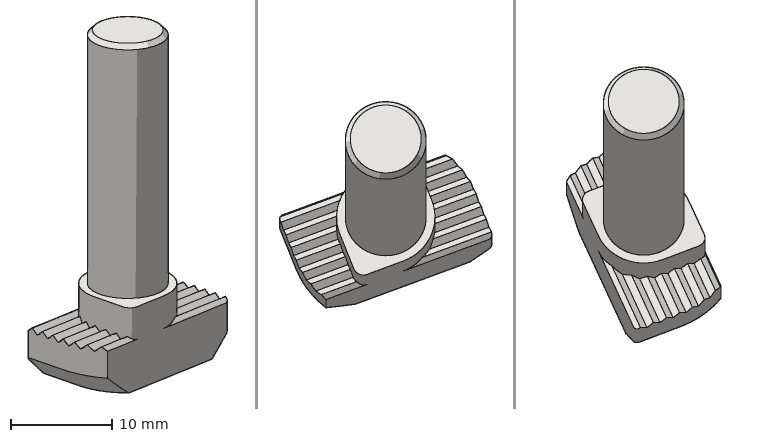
import cadquery as cq

total_height = 35.8
head_width = 9.7
head_length = 19.0

head_bevel = 2.5
head_corner_radius = 0.5

ridge_count = 7
ridge_pitch = 1.4
ridge_shift = 0.15
ridge_top = 5.8
ridge_root = 5.23

collar_top = 8.85
collar_corner_radius = 1.0
shank_diameter = 8.0
shank_chamfer = 0.5

half_width = head_width / 2
half_length = head_length / 2


def quadrant_box(x_side, y_side, length, bottom, top):
    """Box filling one XY quadrant of the head width between two heights."""
    return (
        cq.Workplane("XY")
        .workplane(offset=bottom)
        .center(x_side * half_width / 2, y_side * length / 2)
        .rect(half_width, length)
        .extrude(top - bottom)
    )


def square_ended_head():
    """Full-width head with straight ends, bevelled underneath."""
    return (
        cq.Workplane("XY")
        .box(head_width, head_length, ridge_top, centered=(True, True, False))
        .edges("|X and <Z")
        .chamfer(head_bevel)
    )


def head_blank():
    """Each end is straight on one side of the axis and round on the other."""
    straight = square_ended_head()
    turned = (
        cq.Workplane("XY")
        .circle(half_length)
        .extrude(ridge_top)
        .faces("<Z")
        .chamfer(head_bevel)
    )
    blank = cq.Workplane("XY")
    for x_side in (-1, 1):
        for y_side in (-1, 1):
            end_form = straight if x_side == y_side else turned
            quadrant = quadrant_box(x_side, y_side, half_length, 0, ridge_top)
            blank = blank.union(end_form.intersect(quadrant))

    corner_envelope = (
        cq.Workplane("XY")
        .rect(head_width, head_length)
        .extrude(ridge_top)
        .edges("|Z")
        .edges("(<X and <Y) or (>X and >Y)")
        .fillet(head_corner_radius)
    )
    return blank.intersect(corner_envelope)


def serrated_envelope():
    """Head cross-section with ridges along its top, extruded along Y."""
    first_root = ridge_shift - ridge_count * ridge_pitch / 2
    outline = [(-head_width, 0), (-head_width, ridge_root), (first_root, ridge_root)]
    for ridge in range(ridge_count):
        root = first_root + ridge * ridge_pitch
        outline.append((root + ridge_pitch / 2, ridge_top))
        outline.append((root + ridge_pitch, ridge_root))
    outline += [(head_width, ridge_root), (head_width, 0)]
    return cq.Workplane("XZ").polyline(outline).close().extrude(half_length, both=True)


def collar():
    """Round collar with two opposite corners filled out nearly square."""
    body = cq.Workplane("XY").workplane(offset=head_bevel).circle(half_width).extrude(collar_top - head_bevel)
    for side in (-1, 1):
        corner = quadrant_box(side, -side, half_width, head_bevel, collar_top)
        outer_edge = "<X and >Y" if side < 0 else ">X and <Y"
        body = body.union(corner.edges("|Z").edges(outer_edge).fillet(collar_corner_radius))
    return body


def shank():
    return (
        cq.Workplane("XY")
        .workplane(offset=ridge_root)
        .circle(shank_diameter / 2)
        .extrude(total_height - ridge_root)
        .faces(">Z")
        .chamfer(shank_chamfer)
    )


head = head_blank().intersect(serrated_envelope())
result = head.union(collar()).union(shank())